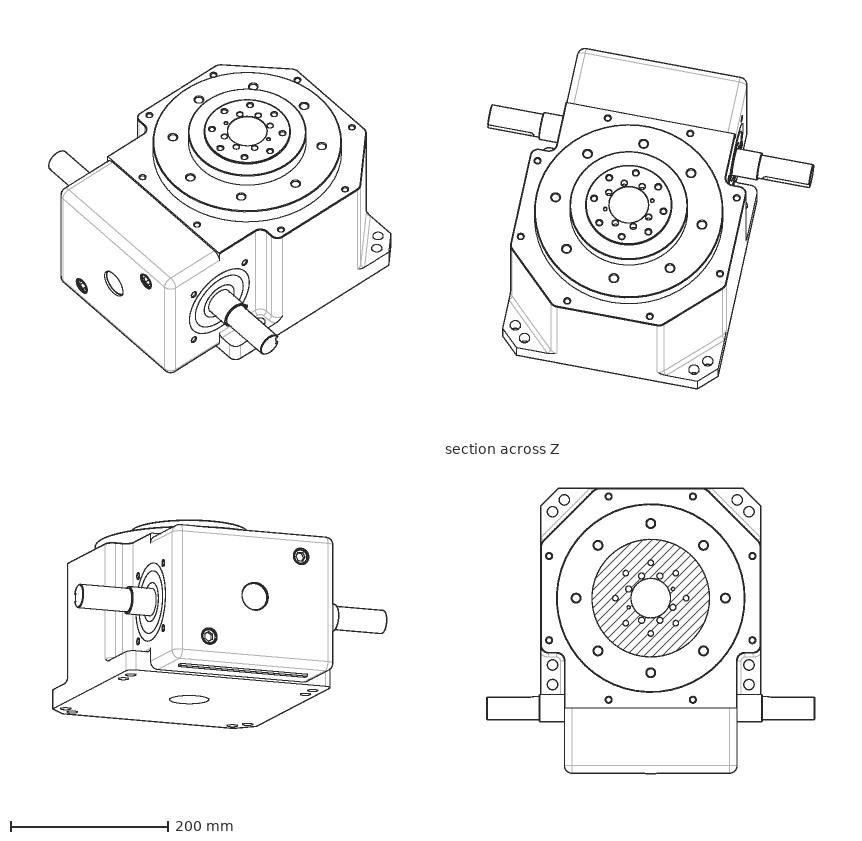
import cadquery as cq
import math


HALF_BODY = 140.0
BODY_TOP = 180.0
TOP_CHAMFER = 1.0
BACK_CUT = 70.0
BACK_CUT_RADIUS = 12.0
NECK_HALF_WIDTH = 110.0
SHOULDER_Y = -70.0
SHOULDER_RADIUS = 10.0

FOOT_HEIGHT = 25.0
FOOT_ROOT_RADIUS = 5.0
FOOT_BACK_CHAMFER = 22.5
FOOT_FRONT_RADIUS = 10.0
FOOT_HOLE_DIAMETER = 13.0
FOOT_HOLE_X = 125.0
FOOT_FRONT_HOLE_Y = (-85.0, -110.0)
FOOT_BACK_HOLE_OFFSET = 110.0

SHAFT_Y = -HALF_BODY
SHAFT_Z = 90.0
CASE_FRONT_Y = -223.0
CASE_HALF_HEIGHT = 87.0
CASE_RADIUS = 10.0
STRIP_LENGTH = 174.0
STRIP_WIDTH = 8.0
STRIP_DROP = 2.5

DOME_RADIUS = 17.0
DOME_HEIGHT = 4.0
DOME_POCKET_RADIUS = 18.0
DOME_POCKET_DEPTH = 3.0
PLUG_X = 63.0
PLUG_RISE = 57.0
PLUG_DIAMETER = 20.0
PLUG_MOUTH_DIAMETER = 21.5
PLUG_RECESS = 1.0
PLUG_RIM_DIAMETER = 17.0
PLUG_RIM_DEPTH = 1.0
PLUG_HEX_DIAMETER = 12.5
PLUG_HEX_DEPTH = 5.0
PLUGS = ((1, 0.0), (-1, 30.0))

SHAFT_DIAMETER = 30.0
SHAFT_END_X = 209.0
SHAFT_CHAMFER = 1.0
COLLAR_DIAMETER = 35.0
COLLAR_END_X = 142.0
KEY_WIDTH = 10.0
KEY_DEPTH = 5.0
KEY_LENGTH = 55.0
COVER_BOLT_PITCH = 85.0

COVER_RADIUS = 50.0
SEAL_RADIUS = 40.0
SEAL_LIP_RADIUS = 25.0
SEAL_STEP = 0.2

FLANGE_DIAMETER = 240.0
FLANGE_TOP = 200.0
FLANGE_CHAMFER = 1.0
HUB_DIAMETER = 150.0
HUB_TOP = 218.0
HUB_CHAMFER = 1.0
SPIGOT_DIAMETER = 110.0
SPIGOT_TOP = 220.0
SPIGOT_CHAMFER = 1.0
BORE_DIAMETER = 50.0
BORE_CHAMFER = 0.5

BOLT_COUNT = 8
BOLT_STEP = 360.0 / BOLT_COUNT
BODY_BOLT_RADIUS = 140.0
FLANGE_BOLT_RADIUS = 95.0
HUB_BOLT_RADIUS = 45.0
CLAMP_SCREW_RADIUS = 30.5
DOWEL_POSITIONS = (0, 4)

M8 = (6.8, 9.0, 16.0, 0.0)
M12 = (10.2, 12.5, 24.0, 0.0)
CLAMP_SCREW = (7.5, 8.5, 12.0, 2.2)
DOWEL = (4.0, 5.0, 10.0, 1.2)

SELECT_MARGIN = 1.0


def disc(diameter, bottom, top):
    """Vertical cylinder on the table axis."""
    return cq.Workplane("XY").workplane(offset=bottom).circle(diameter / 2).extrude(top - bottom)


def polar_points(radius, start_angle):
    """Bolt circle points, counter-clockwise from start_angle in degrees."""
    angles = [math.radians(start_angle + i * BOLT_STEP) for i in range(BOLT_COUNT)]
    return [(radius * math.cos(a), radius * math.sin(a)) for a in angles]


def hole_cutter(size, position, direction):
    """Blind hole with a 45 degree mouth, starting at position and running along direction."""
    core, mouth, depth, point = size
    sink = (mouth - core) / 2
    start = cq.Vector(*position)
    axis = cq.Vector(*direction)
    drill = cq.Solid.makeCylinder(core / 2, depth, start, axis)
    cone = cq.Solid.makeCone(mouth / 2, core / 2, sink, start, axis)
    cutter = drill.fuse(cone)
    if point > 0:
        cutter = cutter.fuse(cq.Solid.makeCone(core / 2, 0, point, start + axis * depth, axis))
    return cutter


def cut_holes(part, size, positions, direction):
    """Cut the same blind hole at every position."""
    for position in positions:
        part = part.cut(cq.Workplane(hole_cutter(size, position, direction)))
    return part


def y_band(y_min, y_max):
    """Selector for body edges whose middle lies between two Y positions."""
    lower = (-HALF_BODY - SELECT_MARGIN, y_min - SELECT_MARGIN, 0)
    upper = (HALF_BODY + SELECT_MARGIN, y_max + SELECT_MARGIN, BODY_TOP)
    return cq.selectors.BoxSelector(lower, upper)


def upright():
    """Body above the foot: diagonal rear corners and a shouldered neck, run past the foot in front."""
    front_y = CASE_FRONT_Y
    rear_flat = HALF_BODY - BACK_CUT
    outline = [
        (-rear_flat, HALF_BODY), (-HALF_BODY, rear_flat),
        (-HALF_BODY, SHOULDER_Y), (-NECK_HALF_WIDTH, SHOULDER_Y), (-NECK_HALF_WIDTH, front_y),
        (NECK_HALF_WIDTH, front_y), (NECK_HALF_WIDTH, SHOULDER_Y), (HALF_BODY, SHOULDER_Y),
        (HALF_BODY, rear_flat), (rear_flat, HALF_BODY),
    ]
    body = cq.Workplane("XY").polyline(outline).close().extrude(BODY_TOP)
    body = body.edges("|Z").edges(y_band(rear_flat, HALF_BODY)).fillet(BACK_CUT_RADIUS)
    body = body.edges("|Z").edges(y_band(SHOULDER_Y, SHOULDER_Y)).fillet(SHOULDER_RADIUS)
    return body.faces(">Z").chamfer(TOP_CHAMFER)


def foot_outline_prism():
    """Full-height prism on the plan outline of the foot."""
    side = 2 * HALF_BODY
    prism = cq.Workplane("XY").rect(side, side).extrude(BODY_TOP)
    prism = prism.edges("|Z and >Y").chamfer(FOOT_BACK_CHAMFER)
    return prism.edges("|Z and <Y").fillet(FOOT_FRONT_RADIUS)


def housing():
    """Upright on an oversized plate with a root fillet all round, trimmed to the foot outline."""
    plate_side = 6 * HALF_BODY
    plate = cq.Workplane("XY").rect(plate_side, plate_side).extrude(FOOT_HEIGHT)
    body = plate.union(upright())
    reach = 2 * HALF_BODY
    near_root = cq.selectors.BoxSelector(
        (-reach, -reach, FOOT_HEIGHT - SELECT_MARGIN),
        (reach, reach, FOOT_HEIGHT + SELECT_MARGIN),
    )
    body = body.edges(near_root).fillet(FOOT_ROOT_RADIUS)
    return body.intersect(foot_outline_prism())


def drill_foot(part):
    """Through mounting holes, two at each corner of the foot."""
    points = []
    for side in (-1, 1):
        points += [(side * FOOT_HOLE_X, y) for y in FOOT_FRONT_HOLE_Y]
        points.append((side * FOOT_HOLE_X, FOOT_BACK_HOLE_OFFSET))
        points.append((side * FOOT_BACK_HOLE_OFFSET, FOOT_HOLE_X))
    holes = cq.Workplane("XY").pushPoints(points).circle(FOOT_HOLE_DIAMETER / 2).extrude(BODY_TOP)
    return part.cut(holes)


def gearbox_case():
    """Case rounded at the front, overlapping into the neck of the body."""
    case_length = SHOULDER_Y - CASE_FRONT_Y - SHOULDER_RADIUS
    case = cq.Workplane("XY").box(2 * NECK_HALF_WIDTH, case_length, 2 * CASE_HALF_HEIGHT)
    case = case.edges("|Y").fillet(CASE_RADIUS).faces("<Y").edges().fillet(CASE_RADIUS)
    return case.translate((0, CASE_FRONT_Y + case_length / 2, SHAFT_Z))


def case_strip():
    """Narrow strip along X, half sunk into the case underside."""
    strip_y = (SHAFT_Y + CASE_FRONT_Y) / 2
    case_bottom = SHAFT_Z - CASE_HALF_HEIGHT
    strip = cq.Workplane("XY").box(STRIP_LENGTH, STRIP_WIDTH, 2 * STRIP_DROP)
    return strip.translate((0, strip_y, case_bottom))


def add_sight_glass(part):
    """Shallow spherical sight glass standing in a round pocket of the case front."""
    floor_y = CASE_FRONT_Y + DOME_POCKET_DEPTH
    floor = cq.Workplane("XZ", origin=(0, floor_y, SHAFT_Z))
    pocket = floor.circle(DOME_POCKET_RADIUS).extrude(DOME_POCKET_DEPTH)
    ball_radius = (DOME_RADIUS ** 2 + DOME_HEIGHT ** 2) / (2 * DOME_HEIGHT)
    half_radius = DOME_RADIUS / 2
    half_sag = ball_radius - math.sqrt(ball_radius ** 2 - half_radius ** 2)
    glass = cq.Workplane("XY", origin=(0, floor_y, SHAFT_Z)).moveTo(0, -DOME_HEIGHT)
    glass = glass.threePointArc((half_radius, half_sag - DOME_HEIGHT), (DOME_RADIUS, 0))
    glass = glass.lineTo(DOME_RADIUS, DOME_HEIGHT).lineTo(0, DOME_HEIGHT).close()
    return part.cut(pocket).union(glass.revolve(360, (0, 0), (0, 1)))


def cut_plug(part, side, hex_turn):
    """Recessed screw plug with a stepped rim and a hexagon socket."""
    centre = (side * PLUG_X, CASE_FRONT_Y, SHAFT_Z + side * PLUG_RISE)
    face = cq.Workplane("XZ", origin=centre)
    rim_floor = PLUG_RECESS + PLUG_RIM_DEPTH
    rim = face.circle(PLUG_RIM_DIAMETER / 2).extrude(-rim_floor)
    turned_face = face.transformed(rotate=(0, 0, hex_turn))
    socket = turned_face.polygon(6, PLUG_HEX_DIAMETER).extrude(-rim_floor - PLUG_HEX_DEPTH)
    recess = (PLUG_DIAMETER, PLUG_MOUTH_DIAMETER, PLUG_RECESS, 0.0)
    part = cut_holes(part, recess, [centre], (0, 1, 0))
    return part.cut(rim).cut(socket)


def input_shaft():
    """Stepped through shaft along X with an open-ended keyway in the +Y side of each end."""
    axis = cq.Workplane("YZ", origin=(0, SHAFT_Y, SHAFT_Z))
    shaft = axis.circle(SHAFT_DIAMETER / 2).extrude(SHAFT_END_X, both=True)
    shaft = shaft.faces("<X or >X").chamfer(SHAFT_CHAMFER)
    collar = axis.circle(COLLAR_DIAMETER / 2).extrude(COLLAR_END_X, both=True)
    shaft = shaft.union(collar.faces("<X or >X").chamfer(SHAFT_CHAMFER))
    key_floor = SHAFT_Y + SHAFT_DIAMETER / 2 - KEY_DEPTH
    for side in (-1, 1):
        key = cq.Workplane("XZ", origin=(side * SHAFT_END_X, key_floor, SHAFT_Z))
        slot_length = 2 * KEY_LENGTH + KEY_WIDTH
        shaft = shaft.cut(key.slot2D(slot_length, KEY_WIDTH).extrude(-SHAFT_DIAMETER))
    return shaft


def cut_seal_steps(part):
    """Shallow nested circular steps around the shaft on both sides of the neck."""
    for side in (-1, 1):
        face = cq.Workplane("YZ", origin=(side * NECK_HALF_WIDTH, SHAFT_Y, SHAFT_Z))
        for level, radius in enumerate((COVER_RADIUS, SEAL_RADIUS, SEAL_LIP_RADIUS), start=1):
            part = part.cut(face.circle(radius).extrude(-side * level * SEAL_STEP))
    return part


def drill_cover_bolts(part):
    """Tapped holes around the shaft on both sides of the neck."""
    half = COVER_BOLT_PITCH / 2
    for side in (-1, 1):
        points = [
            (side * NECK_HALF_WIDTH, SHAFT_Y + dy, SHAFT_Z + dz)
            for dy in (-half, half) for dz in (-half, half)
        ]
        part = cut_holes(part, M8, points, (-side, 0, 0))
    return part


def rotary_table():
    """Fixed flange, hub and spigot stacked on the table axis."""
    flange = disc(FLANGE_DIAMETER, BODY_TOP, FLANGE_TOP).faces(">Z").chamfer(FLANGE_CHAMFER)
    hub = disc(HUB_DIAMETER, FLANGE_TOP, HUB_TOP).faces(">Z").chamfer(HUB_CHAMFER)
    spigot = disc(SPIGOT_DIAMETER, HUB_TOP, SPIGOT_TOP).faces(">Z").chamfer(SPIGOT_CHAMFER)
    return flange.union(hub).union(spigot)


def cut_bore(part):
    """Through bore with a chamfered upper mouth."""
    part = part.cut(disc(BORE_DIAMETER, 0, SPIGOT_TOP))
    mouth = cq.Solid.makeCone(
        BORE_DIAMETER / 2, BORE_DIAMETER / 2 + BORE_CHAMFER, BORE_CHAMFER,
        cq.Vector(0, 0, SPIGOT_TOP - BORE_CHAMFER),
    )
    return part.cut(cq.Workplane(mouth))


def drill_bolt_circles(part):
    """Bolt circles of the body, flange, hub and spigot centre."""
    half_step = BOLT_STEP / 2
    down = (0, 0, -1)
    circles = [
        (M8, BODY_BOLT_RADIUS, half_step, BODY_TOP),
        (M12, FLANGE_BOLT_RADIUS, 0, FLANGE_TOP),
        (M8, HUB_BOLT_RADIUS, 0, SPIGOT_TOP),
    ]
    for size, radius, start_angle, level in circles:
        points = [(x, y, level) for x, y in polar_points(radius, start_angle)]
        part = cut_holes(part, size, points, down)
    for place, (x, y) in enumerate(polar_points(CLAMP_SCREW_RADIUS, half_step)):
        size = DOWEL if place in DOWEL_POSITIONS else CLAMP_SCREW
        part = cut_holes(part, size, [(x, y, SPIGOT_TOP)], down)
    return part


part = drill_foot(housing())
part = part.union(gearbox_case()).union(case_strip())
part = add_sight_glass(part)
for side, hex_turn in PLUGS:
    part = cut_plug(part, side, hex_turn)
part = cut_seal_steps(part)
part = drill_cover_bolts(part)
part = part.union(input_shaft())
part = part.union(rotary_table())
part = cut_bore(part)
result = drill_bolt_circles(part)